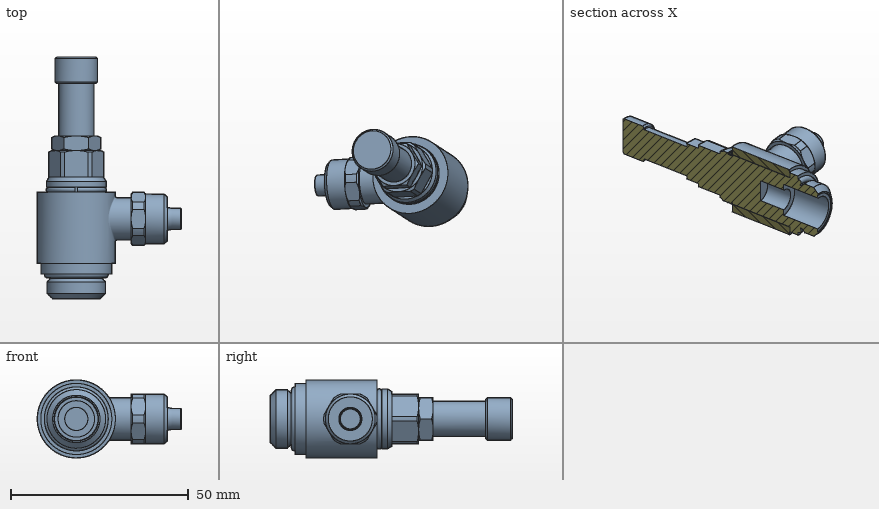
import cadquery as cq
import math

thread_start = 1.6
thread_end = 4.8
undercut_start = 5.8
collar_start = 7.0
swivel_start = 10.0
swivel_end = 30.0
groove_end = 31.4
shoulder_end = 33.0
body_hex_start = 34.2
lock_hex_start = 41.7
stem_start = 45.8
knob_start = 60.5
total_length = 68.0

thread_radius = 16.5 / 2
nose_radius = thread_radius - thread_start
undercut_radius = 14.5 / 2
collar_radius = 20.0 / 2
journal_radius = 16.85 / 2
groove_radius = 15.9 / 2
hex_seat_radius = 7.7
stem_radius = 10.0 / 2
knob_radius = 12.0 / 2
knob_chamfer = 0.5

body_hex_flats = 14.0
body_hex_trim_radius = 7.75
lock_hex_flats = 12.0
lock_hex_trim_radius = lock_hex_flats / math.sqrt(3)
hex_chamfer_length = 0.45

lip_outer_radius = 6.25
lip_inner_radius = 6.1
lip_depth = 0.15
bore_radius = 10.25 / 2
bore_depth = 12.0
orifice_radius = 6.5 / 2
orifice_depth = 20.0

seal_wire_radius = 0.95
seal_outer_radius = 9.0
seal_start = 5.9
seal_center_y = seal_start + seal_wire_radius
ring_wire_radius = 0.65
ring_outer_radius = 8.5
ring_center_y = swivel_end + ring_wire_radius
ring_gap = 0.6

swivel_radius = 11.0
arm_y = 22.5
arm_radius = 12.0 / 2
arm_root_fillet = 0.4
nut_start = 15.4
nut_hex_end = 19.5
nut_end = 25.6
nipple_cone_end = 26.85
nipple_end = 29.5
nipple_root_radius = 6.5 / 2
nipple_tip_radius = 6.0 / 2
nipple_tip_chamfer = 0.2

nut_hex_flats = 14.0
nut_hex_trim_radius = 7.5
nut_barrel_radius = 14.0 / 2
nut_end_chamfer_length = 0.9
nut_end_chamfer_depth = 0.8


def turned(profile):
    """Solid of revolution about Y from (radius, y) points; the axis closes the profile."""
    points = [(0, profile[0][1]), *profile, (0, profile[-1][1])]
    return cq.Workplane("XY").polyline(points).close().revolve(360, (0, 0, 0), (0, 1, 0))


def torus(outer_radius, wire_radius, center_y):
    """Ring of round wire around Y."""
    pitch_radius = outer_radius - wire_radius
    section = cq.Workplane("XY").center(pitch_radius, center_y).circle(wire_radius)
    return section.revolve(360, (-pitch_radius, 0, 0), (-pitch_radius, 1, 0))


def hexagon(flats, trim_radius, start, end, chamfer_start=True):
    """Hexagon along Y with corners on X, trimmed by a turned and chamfered envelope."""
    prism = (
        cq.Workplane("XZ", origin=(0, start, 0))
        .polygon(6, flats / math.cos(math.pi / 6))
        .extrude(start - end)
    )
    end_radius = flats / 2
    envelope = [(trim_radius, end - hex_chamfer_length), (end_radius, end)]
    if chamfer_start:
        envelope = [(end_radius, start), (trim_radius, start + hex_chamfer_length)] + envelope
    else:
        envelope = [(trim_radius, start)] + envelope
    return prism.intersect(turned(envelope))


def along_arm(shape):
    """Move a shape built along +Y onto the side arm axis along +X."""
    return shape.rotate((0, 0, 0), (0, 0, 1), -90).translate((0, arm_y, 0))


def make_retaining_ring():
    """Round wire ring split by a narrow gap on the +Z side."""
    ring = torus(ring_outer_radius, ring_wire_radius, ring_center_y)
    gap = (
        cq.Workplane("XY", origin=(0, ring_center_y, 0))
        .rect(ring_gap, 4 * ring_wire_radius)
        .extrude(2 * ring_outer_radius)
    )
    return ring.cut(gap)


def make_bolt():
    """Hollow screw with collar, journal, hexagons, stem and adjusting knob."""
    bolt = turned([
        (nose_radius, 0),
        (thread_radius, thread_start),
        (thread_radius, thread_end),
        (undercut_radius, undercut_start),
        (undercut_radius, collar_start),
        (collar_radius, collar_start),
        (collar_radius, swivel_start),
        (journal_radius, swivel_start),
        (journal_radius, swivel_end),
        (groove_radius, swivel_end),
        (groove_radius, groove_end),
        (journal_radius, groove_end),
        (journal_radius, shoulder_end),
        (hex_seat_radius, body_hex_start),
        (stem_radius, body_hex_start),
        (stem_radius, knob_start),
        (knob_radius - knob_chamfer, knob_start),
        (knob_radius, knob_start + knob_chamfer),
        (knob_radius, total_length - knob_chamfer),
        (knob_radius - knob_chamfer, total_length),
    ])
    bolt = bolt.union(hexagon(body_hex_flats, body_hex_trim_radius, body_hex_start, lock_hex_start, False))
    bolt = bolt.union(hexagon(lock_hex_flats, lock_hex_trim_radius, lock_hex_start, stem_start))
    bolt = bolt.union(torus(seal_outer_radius, seal_wire_radius, seal_center_y))
    bolt = bolt.union(make_retaining_ring())
    bore = turned([
        (lip_outer_radius, 0),
        (lip_inner_radius, lip_depth),
        (bore_radius, lip_depth),
        (bore_radius, bore_depth),
        (orifice_radius, bore_depth),
        (orifice_radius, orifice_depth),
    ])
    return bolt.cut(bore)


def make_swivel():
    """Swivel housing with the side arm and the hose nipple that passes through the nut."""
    sleeve = turned([(swivel_radius, swivel_start), (swivel_radius, swivel_end)])
    arm = along_arm(turned([(arm_radius, 0), (arm_radius, nut_start)]))
    root_zone = cq.selectors.BoxSelector(
        (arm_radius, arm_y - arm_radius, -arm_radius),
        (swivel_radius, arm_y + arm_radius, arm_radius),
    )
    swivel = sleeve.union(arm).edges(root_zone).fillet(arm_root_fillet)
    nipple = along_arm(turned([
        (nipple_root_radius, nut_start),
        (nipple_root_radius, nut_end),
        (nipple_tip_radius, nipple_cone_end),
        (nipple_tip_radius, nipple_end - nipple_tip_chamfer),
        (nipple_tip_radius - nipple_tip_chamfer, nipple_end),
    ]))
    journal_hole = turned([(journal_radius, swivel_start), (journal_radius, swivel_end)])
    return swivel.cut(journal_hole).union(nipple)


def make_nut():
    """Union nut: hexagon and chamfered barrel around the nipple."""
    barrel = turned([
        (nut_barrel_radius, nut_hex_end),
        (nut_barrel_radius, nut_end - nut_end_chamfer_length),
        (nut_barrel_radius - nut_end_chamfer_depth, nut_end),
    ])
    nipple_hole = turned([(nipple_root_radius, nut_start), (nipple_root_radius, nut_end)])
    nut = hexagon(nut_hex_flats, nut_hex_trim_radius, nut_start, nut_hex_end).union(barrel)
    return along_arm(nut.cut(nipple_hole))


bolt = make_bolt()
swivel = make_swivel()
nut = make_nut()

result = cq.Compound.makeCompound([bolt.solids().val(), swivel.solids().val(), nut.solids().val()])